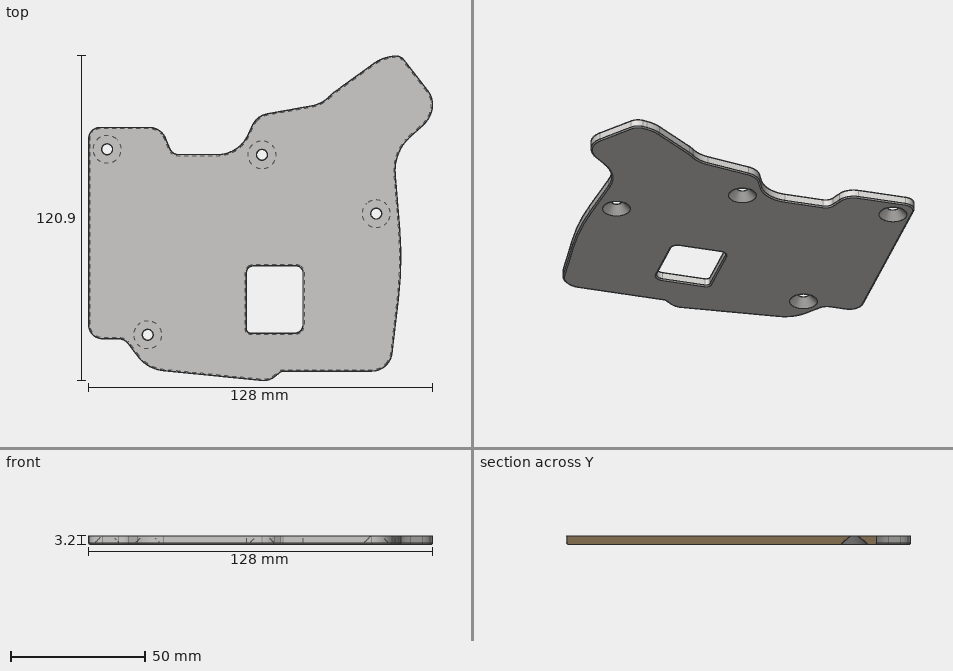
import cadquery as cq
import math


thickness = 3.2
bottom_chamfer = 0.5

left_bottom_y = 15.5
right_bottom_y = 3.5
notch_floor_y = 84.1
left_top_y = 94.2

outline_corners = [
    (0, left_bottom_y, 5.2),
    (13.5, left_bottom_y, 4.5),
    (21.9, 4.2, 13.7),
    (67.0, -0.3, 6.4),
    (71.8, right_bottom_y, 1.7),
    (112.1, right_bottom_y, 7.7),
    (116.8, 43.6, 127.6),
    (113.4, 85.1, 17.0),
    (125.9, 96.2, 10.7),
    (129.4, 103.7, 8.6),
    (115.8, 121.2, 4.2),
    (108.6, 119.8, 13.8),
    (90.6, 106.7, 12.2),
    (86.9, 102.9, 12.2),
    (62.6, 98.5, 7.7),
    (55.9, notch_floor_y, 12.3),
    (31.1, notch_floor_y, 3.5),
    (27.0, left_top_y, 6.7),
    (0, left_top_y, 4.4),
]

hole_diameter = 4.0
hole_mouth_diameter = hole_diameter + 2 * thickness
hole_centers = [(6.9, 86.0), (64.5, 84.0), (107.0, 62.1), (22.0, 17.0)]

window_left = 58.7
window_bottom = 17.7
window_width = 21.0
window_height = 25.0
window_right = window_left + window_width
window_top = window_bottom + window_height
window_upper_radius = 2.5
window_lower_left_radius = 1.5
window_lower_right_radius = 3.1
window_corners = [
    (window_left, window_bottom, window_lower_left_radius),
    (window_right, window_bottom, window_lower_right_radius),
    (window_right, window_top, window_upper_radius),
    (window_left, window_top, window_upper_radius),
]


def corner_arc(before, corner, after):
    """Start, middle and end of the arc that rounds a corner between its neighbours."""
    x, y, radius = corner
    angle_in = math.atan2(before[1] - y, before[0] - x)
    angle_out = math.atan2(after[1] - y, after[0] - x)
    half_angle = math.acos(math.cos(angle_in - angle_out)) / 2
    bisector = math.atan2(
        math.sin(angle_in) + math.sin(angle_out),
        math.cos(angle_in) + math.cos(angle_out),
    )

    def away_from_corner(distance, angle):
        return (x + distance * math.cos(angle), y + distance * math.sin(angle))

    tangent_length = radius / math.tan(half_angle)
    arc_depth = radius / math.sin(half_angle) - radius
    return (
        away_from_corner(tangent_length, angle_in),
        away_from_corner(arc_depth, bisector),
        away_from_corner(tangent_length, angle_out),
    )


def rounded_prism(corners):
    """Extrude a polygon, with each corner rounded to its own radius, to plate thickness."""
    arcs = []
    for i, corner in enumerate(corners):
        after = corners[(i + 1) % len(corners)]
        arcs.append(corner_arc(corners[i - 1], corner, after))
    first_start, first_middle, first_end = arcs[0]
    sketch = cq.Workplane("XY").moveTo(*first_start).threePointArc(first_middle, first_end)
    for start, middle, end in arcs[1:]:
        sketch = sketch.lineTo(*start).threePointArc(middle, end)
    return sketch.close().extrude(thickness)


def countersunk_hole(center):
    """Cone that is widest at the bottom face and narrows to the hole at the top face."""
    cone = cq.Solid.makeCone(hole_mouth_diameter / 2, hole_diameter / 2, thickness)
    return cq.Workplane("XY").add(cone).translate((*center, 0))


plate = rounded_prism(outline_corners).cut(rounded_prism(window_corners))
plate = plate.faces("<Z").chamfer(bottom_chamfer)

for hole_center in hole_centers:
    plate = plate.cut(countersunk_hole(hole_center))

result = plate